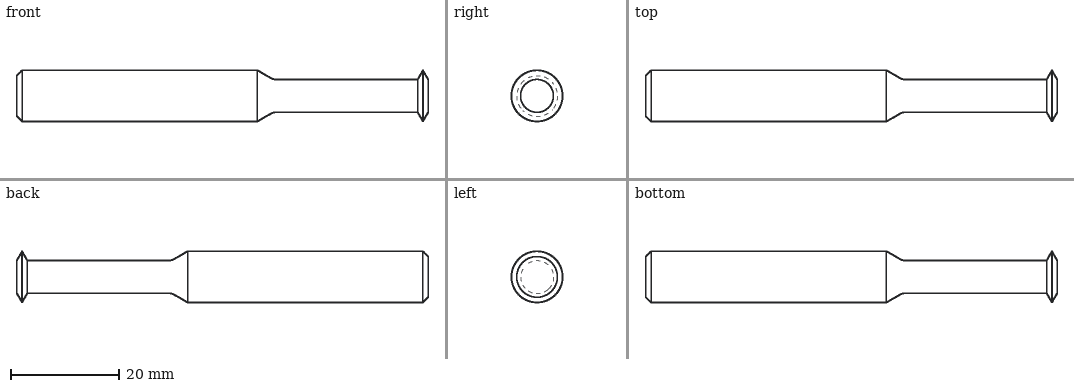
import cadquery as cq
import math

length = 76.2
shank_radius = 9.5 / 2
shank_chamfer = 1.0
shank_end = 44.6

neck_radius = 6.1 / 2
taper_angle = math.radians(30)
blend_radius = 1.8

cutter_radius = 9.45 / 2
flank_angle = math.radians(30)
crest_width = 0.045

blend_start_radius = neck_radius + blend_radius * (1 - math.cos(taper_angle))
blend_start = shank_end + (shank_radius - blend_start_radius) / math.tan(taper_angle)
blend_end = blend_start + blend_radius * math.sin(taper_angle)
blend_mid = (
    blend_end - blend_radius * math.sin(taper_angle / 2),
    neck_radius + blend_radius * (1 - math.cos(taper_angle / 2)),
)

flank_width = (cutter_radius - neck_radius) * math.tan(flank_angle)
crest_end = length - flank_width
crest_start = crest_end - crest_width
cutter_start = crest_start - flank_width

half_profile = (
    cq.Workplane("XY")
    .moveTo(0, 0)
    .lineTo(0, shank_radius - shank_chamfer)
    .lineTo(shank_chamfer, shank_radius)
    .lineTo(shank_end, shank_radius)
    .lineTo(blend_start, blend_start_radius)
    .threePointArc(blend_mid, (blend_end, neck_radius))
    .lineTo(cutter_start, neck_radius)
    .lineTo(crest_start, cutter_radius)
    .lineTo(crest_end, cutter_radius)
    .lineTo(length, neck_radius)
    .lineTo(length, 0)
    .close()
)

result = half_profile.revolve(360, (0, 0, 0), (1, 0, 0))